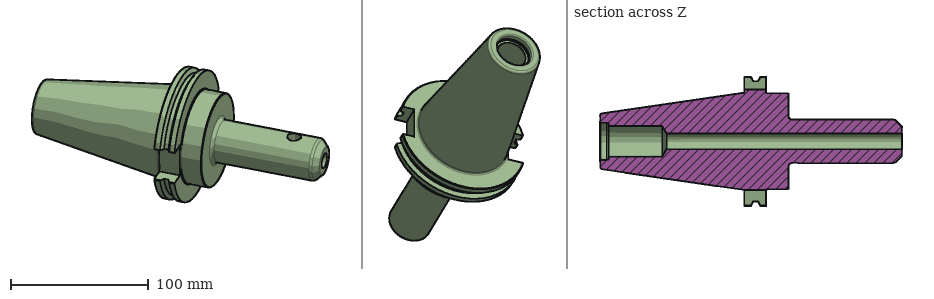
import cadquery as cq
import math


gauge_diameter = 69.85
taper_length = 101.35
taper_ratio = 7 / 24
small_end_fillet = 2.0
neck_diameter = 70.2
neck_fillet = 0.8

flange_diameter = 97.5
flange_start = 3.2
flange_end = 19.1
flange_chamfer = 0.5
flange_root_fillet = 0.6
groove_centre = 11.5
groove_floor_width = 3.35
groove_depth = 3.3
groove_wall_angle = 30.0

slot_width = 25.4
slot_edge_chamfer = 0.6
slot_floor_front = 35.3
slot_floor_back = 37.7

collar_diameter = 69.85
collar_end = 35.4
collar_chamfer = 0.5
shank_diameter = 31.75
shank_root_fillet = 2.6
overall_length = 218.97
tip_chamfer = 5.2
tip_fillet = 3.0
tip_edge_fillet = 0.9

mouth_diameter = 26.7
mouth_depth = 4.9
mouth_fillet = 1.05
pull_stud_diameter = 26.2
pull_stud_depth = 6.3
thread_diameter = 21.97
thread_depth = 45.0
drill_point_angle = 118.0
coolant_diameter = 11.11
cross_hole_diameter = 10.0
cross_hole_from_tip = 23.2

gauge_radius = gauge_diameter / 2
small_end_x = -taper_length
small_end_radius = gauge_radius - taper_length * taper_ratio / 2
neck_radius = neck_diameter / 2
neck_start = (neck_diameter - gauge_diameter) / taper_ratio
flange_radius = flange_diameter / 2
collar_radius = collar_diameter / 2
shank_radius = shank_diameter / 2
shank_end = overall_length - taper_length


def revolve_profile(points):
    """Solid of revolution about X from (x, radius) points."""
    return cq.Workplane("XY").polyline(points).close().revolve(360, (0, 0, 0), (1, 0, 0))


def fillet_circle(body, x, radius, size):
    """Round the circular edge of the given radius at station x."""
    tolerance = 0.01
    low = (x - tolerance, -radius - tolerance, -radius - tolerance)
    high = (x + tolerance, radius + tolerance, radius + tolerance)
    return body.edges(cq.selectors.BoxSelector(low, high, boundingbox=True)).fillet(size)


def make_taper():
    taper = revolve_profile([
        (small_end_x, 0),
        (small_end_x, small_end_radius),
        (neck_start, neck_radius),
        (flange_start, neck_radius),
        (flange_start, 0),
    ])
    return fillet_circle(taper, small_end_x, small_end_radius, small_end_fillet)


def make_flange():
    wall_run = groove_depth * math.tan(math.radians(groove_wall_angle))
    floor_start = groove_centre - groove_floor_width / 2
    floor_end = groove_centre + groove_floor_width / 2
    groove_start = floor_start - wall_run
    groove_end = floor_end + wall_run
    floor_radius = flange_radius - groove_depth
    flange = revolve_profile([
        (flange_start, 0),
        (flange_start, flange_radius - flange_chamfer),
        (flange_start + flange_chamfer, flange_radius),
        (groove_start, flange_radius),
        (floor_start, floor_radius),
        (floor_end, floor_radius),
        (groove_end, flange_radius),
        (flange_end, flange_radius),
        (flange_end, 0),
    ])
    for side, slot_floor in ((-1, slot_floor_front), (1, slot_floor_back)):
        flange = flange.cut(make_slot(side, slot_floor))
    return chamfer_land_corners(flange)


def chamfer_land_corners(flange):
    """Break the corners where the slot walls meet the flange rim."""
    corner_y = math.sqrt(flange_radius**2 - (slot_width / 2) ** 2)
    for side in (-1, 1):
        corners = cq.selectors.BoxSelector(
            (flange_start, side * corner_y - slot_edge_chamfer, -slot_width),
            (flange_end, side * corner_y + slot_edge_chamfer, slot_width),
        )
        flange = flange.edges("|X").edges(corners).chamfer(slot_edge_chamfer)
    return flange


def make_slot(side, slot_floor):
    """Block that clears the flange outside the slot floor on one Y side."""
    length = flange_end - flange_start
    slot = cq.Workplane("XY").box(length, flange_radius, slot_width)
    return slot.translate((flange_start + length / 2, side * (slot_floor + flange_radius / 2), 0))


def make_shank():
    """Collar and shank with a rounded root and a chamfered tip."""
    tip_radius = shank_radius - tip_chamfer
    shank = revolve_profile([
        (flange_end, 0),
        (flange_end, collar_radius),
        (collar_end - collar_chamfer, collar_radius),
        (collar_end, collar_radius - collar_chamfer),
        (collar_end, shank_radius),
        (shank_end - tip_chamfer, shank_radius),
        (shank_end, tip_radius),
        (shank_end, 0),
    ])
    shank = fillet_circle(shank, collar_end, shank_radius, shank_root_fillet)
    shank = fillet_circle(shank, shank_end - tip_chamfer, shank_radius, tip_fillet)
    return fillet_circle(shank, shank_end, tip_radius, tip_edge_fillet)


def make_bores():
    """Pull-stud bore, thread hole with drill point, and the through hole."""
    thread_radius = thread_diameter / 2
    coolant_radius = coolant_diameter / 2
    stud_radius = pull_stud_diameter / 2
    mouth_radius = mouth_diameter / 2
    thread_end = small_end_x + thread_depth
    point_length = (thread_radius - coolant_radius) / math.tan(math.radians(drill_point_angle / 2))
    return revolve_profile([
        (small_end_x, 0),
        (small_end_x, mouth_radius),
        (small_end_x + mouth_depth, mouth_radius),
        (small_end_x + mouth_depth, stud_radius),
        (small_end_x + pull_stud_depth, stud_radius),
        (small_end_x + pull_stud_depth, thread_radius),
        (thread_end, thread_radius),
        (thread_end + point_length, coolant_radius),
        (shank_end, coolant_radius),
        (shank_end, 0),
    ])


def make_cross_hole():
    """Radial hole from the top of the shank into the through hole."""
    hole = cq.Workplane("XY").circle(cross_hole_diameter / 2).extrude(shank_diameter)
    return hole.translate((shank_end - cross_hole_from_tip, 0, 0))


body = make_taper().union(make_flange()).union(make_shank())
body = fillet_circle(body, flange_start, neck_radius, neck_fillet)
body = fillet_circle(body, flange_end, collar_radius, flange_root_fillet)
body = body.cut(make_bores())
body = fillet_circle(body, small_end_x, mouth_diameter / 2, mouth_fillet)
result = body.cut(make_cross_hole())